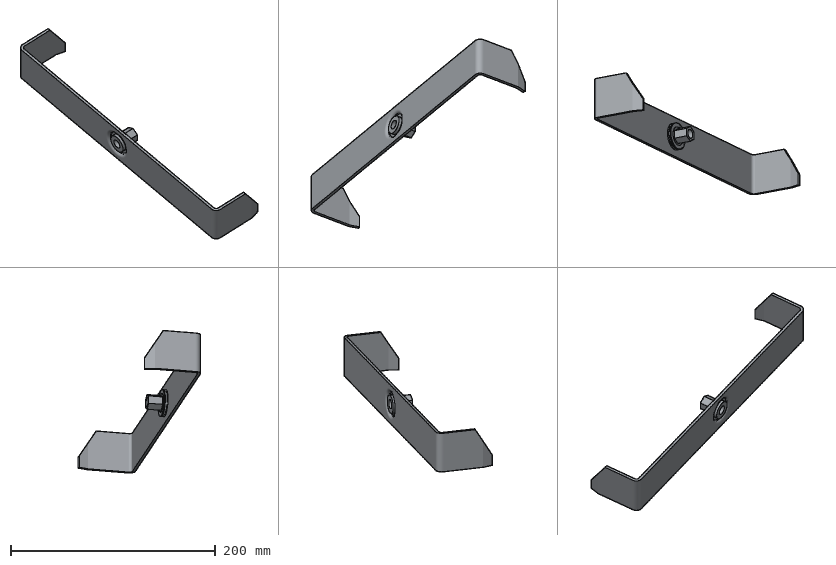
import cadquery as cq
import math

length = 295.0
depth = 57.0
height = 40.0
thickness = 3.0
bend_radius = 6.0

tip_length = 10.0
tip_angle = math.radians(15)
tip_height = 11.0
slope_run = 18.3

collar_back = 5.5
mouth_radius = 15.5
hole_radius = 12.0
flare_depth = mouth_radius - hole_radius
collar_root_radius = 13.3
collar_rim_radius = 12.7

washer_radius = 13.3
washer_thickness = 1.2
spigot_radius = 9.0
bore_radius = 4.5
nut_across_flats = 13.3
nut_height = 14.2

half_length = length / 2
washer_back = collar_back + washer_thickness


def section_plane(y):
    """XZ plane at the strap centre height, extruding towards +Y."""
    return cq.Workplane(cq.Plane(origin=(0, y, height / 2), xDir=(1, 0, 0), normal=(0, 1, 0)))


def disc(y, radius, thick):
    return section_plane(y).circle(radius).extrude(thick)


def make_leg():
    """Right-hand leg with its quarter-round corner and leaning tip."""
    inner_x = half_length - thickness
    straight_x = half_length - bend_radius
    tip_start = depth - tip_length
    tip_shift = tip_length * math.tan(tip_angle)
    outer_tip = (half_length - tip_shift, depth)
    inner_tip = (
        outer_tip[0] - thickness * math.cos(tip_angle),
        depth - thickness * math.sin(tip_angle),
    )
    inner_bend_y = tip_start - thickness * math.tan(tip_angle / 2)
    inner_radius = bend_radius - thickness
    diagonal = math.sqrt(0.5)
    outer_mid = (straight_x + bend_radius * diagonal, bend_radius * (1 - diagonal))
    inner_mid = (straight_x + inner_radius * diagonal, bend_radius - inner_radius * diagonal)
    leg = (
        cq.Workplane("XY")
        .moveTo(straight_x, 0)
        .threePointArc(outer_mid, (half_length, bend_radius))
        .lineTo(half_length, tip_start)
        .lineTo(*outer_tip)
        .lineTo(*inner_tip)
        .lineTo(inner_x, inner_bend_y)
        .lineTo(inner_x, bend_radius)
        .threePointArc(inner_mid, (straight_x, thickness))
        .close()
        .extrude(height)
    )
    slope_cut = (
        cq.Workplane("YZ")
        .polyline([(depth - slope_run, height), (depth, tip_height), (depth, height)])
        .close()
        .extrude(length)
    )
    return leg.cut(slope_cut)


def make_collar():
    """Solid tapered boss on the back of the strap."""
    return (
        section_plane(thickness)
        .circle(collar_root_radius)
        .workplane(offset=collar_back - thickness)
        .circle(collar_rim_radius)
        .loft(ruled=True)
    )


def flared_hole():
    """Through hole whose front mouth widens in a quarter round."""
    diagonal = math.sqrt(0.5)
    flare_mid = (mouth_radius - flare_depth * diagonal, flare_depth * (1 - diagonal))
    return (
        cq.Workplane("XY")
        .lineTo(mouth_radius, 0)
        .threePointArc(flare_mid, (hole_radius, flare_depth))
        .lineTo(hole_radius, collar_back)
        .lineTo(0, collar_back)
        .close()
        .revolve(360, (0, 0, 0), (0, 1, 0))
        .translate((0, 0, height / 2))
    )


def make_strap():
    web_length = length - 2 * bend_radius
    web = cq.Workplane("XY").box(web_length, thickness, height, centered=(True, False, False))
    leg = make_leg()
    strap = web.union(leg).union(leg.mirror("YZ"))
    return strap.union(make_collar()).cut(flared_hole())


def make_washer():
    rim = disc(collar_back, washer_radius, washer_thickness)
    pilot = disc(flare_depth, hole_radius, collar_back - flare_depth)
    hole = disc(flare_depth, spigot_radius, washer_back - flare_depth)
    return rim.union(pilot).cut(hole)


def make_nut():
    across_corners = nut_across_flats / math.cos(math.pi / 6)
    corner_up = 90
    hexagon_plane = section_plane(washer_back).transformed(rotate=(0, 0, corner_up))
    hexagon = hexagon_plane.polygon(6, across_corners).extrude(nut_height)
    spigot = disc(0, spigot_radius, washer_back)
    bore = disc(0, bore_radius, washer_back + nut_height)
    return hexagon.union(spigot).cut(bore)


strap = make_strap()
washer = make_washer()
nut = make_nut()

result = cq.Compound.makeCompound([strap.val(), washer.val(), nut.val()])